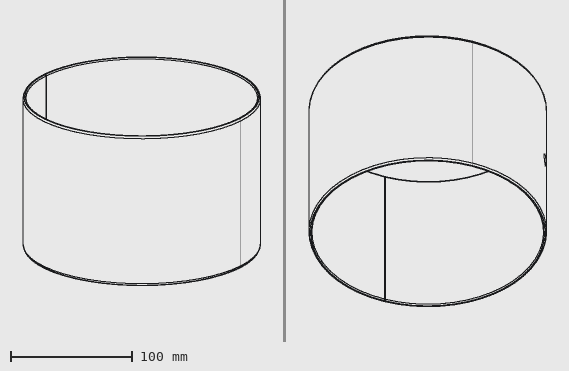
import cadquery as cq

outer_diameter = 195.0
height = 130.0
wall = 2.5
outer_chamfer_height = 2.0
inner_chamfer_height = 1.2
chamfer_width = 0.8
slit_width = 1.0
slit_center_y = 1.0
hole_diameter = 10.0
hole_angle = 59.0

outer_radius = outer_diameter / 2
inner_radius = outer_radius - wall
half_height = height / 2


def make_ring():
    """Thin sleeve, centred on the origin, with both rims chamfered inside and out."""
    rim_radius = outer_radius - chamfer_width
    inner_rim_radius = inner_radius + chamfer_width
    outer_shoulder_z = half_height - outer_chamfer_height
    inner_shoulder_z = half_height - inner_chamfer_height
    wall_section = [
        (inner_radius, -inner_shoulder_z),
        (inner_rim_radius, -half_height),
        (rim_radius, -half_height),
        (outer_radius, -outer_shoulder_z),
        (outer_radius, outer_shoulder_z),
        (rim_radius, half_height),
        (inner_rim_radius, half_height),
        (inner_radius, inner_shoulder_z),
    ]
    return cq.Workplane("XZ").polyline(wall_section).close().revolve(360, (0, 0), (0, 1))


def make_slit():
    """Full-height cut that splits the sleeve on its -X side."""
    return cq.Workplane("XY").box(outer_diameter, slit_width, height).translate(
        (-outer_radius, slit_center_y, 0)
    )


def make_hole():
    """Radial hole through one wall at mid-height."""
    return (
        cq.Workplane("YZ")
        .circle(hole_diameter / 2)
        .extrude(outer_diameter)
        .rotate((0, 0, 0), (0, 0, 1), hole_angle)
    )


result = make_ring().cut(make_slit()).cut(make_hole())